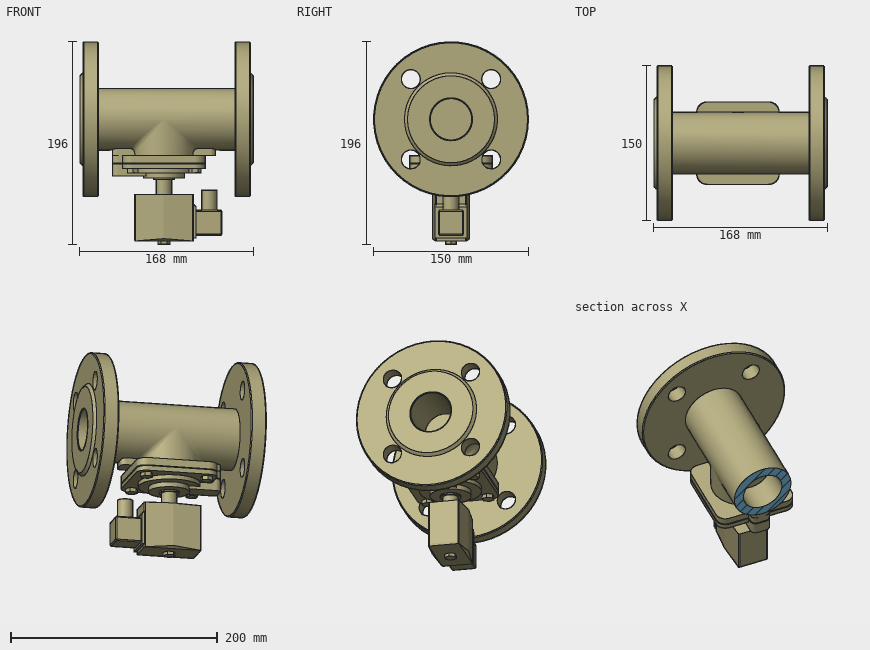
import cadquery as cq
import math

overall_length = 168.0
overall_height = 196.0
pipe_diameter = 60.0
pipe_radius = pipe_diameter / 2
bore_diameter = 40.0
bore_chamfer = 0.8
bore_depth = 58.8
flange_diameter = 150.0
flange_thickness = 15.0
flange_chamfer = 1.0
face_height = 3.0
face_diameter = 90.0
bolt_circle_diameter = 110.0
bolt_hole_diameter = 18.0
bolt_hole_count = 4
first_bolt_angle = 45
bevel_angle = 45

branch_x = -2.5
branch_diameter = pipe_diameter - 0.04
branch_blend_radius = 4.9
plate_side = 80.0
plate_corner_radius = 10.0
plate_top_z = -35.0
plate_joint_z = -42.7
plate_bottom_z = -47.8
joint_gap = 0.5
joint_inset = 0.4
cover_bolt_spacing = 60.0
hex_across_flats = 10.2
cover_bolt_height = 4.0
hex_quarter_turn = 90

bar_length = 100.0
bar_width = 20.0
bar_top_z = -bar_width
bar_corner_radius = 4.9
arm_corner_radius = 5.7
arm_bottom_z = -55.0

bonnet_diameter = 60.0
bonnet_bottom_z = -52.1
collar_diameter = 40.0
collar_bottom_z = -57.0
washer_diameter = 20.0
washer_bottom_z = -58.5
stem_diameter = 15.0

housing_length = 56.8
housing_top_z = -72.7
housing_bottom_z = -117.8
housing_end_width = 30.2
housing_middle_width = 36.0
housing_end_chamfer = 1.0
housing_bottom_bevel = 2.4
housing_foot_height = 2.0
housing_foot_run = 0.4
housing_nut_height = overall_height - flange_diameter / 2 + housing_bottom_z

pad_thickness = 2.7
pad_bevel = 2.5
pad_top_z = -82.1
pad_bottom_z = -114.9
pad_width = 31.4
connector_length = 25.0
connector_width = 24.3
connector_top_z = -87.8
connector_bottom_z = -112.3
connector_chamfer = 1.2
cable_entry_diameter = 15.0
cable_entry_height = 19.2
cable_entry_offset = 12.7


def z_cylinder(diameter, top_z, bottom_z, x):
    return cq.Workplane("XY", origin=(x, 0, bottom_z)).circle(diameter / 2).extrude(top_z - bottom_z)


def z_block(min_x, max_x, width, top_z, bottom_z):
    return (
        cq.Workplane("XY", origin=((min_x + max_x) / 2, 0, bottom_z))
        .rect(max_x - min_x, width)
        .extrude(top_z - bottom_z)
    )


def pipe_with_branch():
    pipe_length = overall_length - 2 * (face_height + flange_thickness)
    pipe = cq.Workplane("YZ").circle(pipe_radius).extrude(pipe_length / 2, both=True)
    branch = z_cylinder(branch_diameter, 0, plate_top_z, branch_x)
    body = pipe.union(branch)
    seam_zone = cq.selectors.BoxSelector(
        (branch_x - pipe_radius, -pipe_radius, -pipe_radius),
        (branch_x + pipe_radius, pipe_radius, 0),
    )
    return body.edges(seam_zone).fillet(branch_blend_radius)


def end_flange():
    """Flange on the -X end, with its raised face."""
    front = cq.Workplane("YZ", origin=(face_height - overall_length / 2, 0, 0))
    disc = front.circle(flange_diameter / 2).extrude(flange_thickness).edges().chamfer(flange_chamfer)
    raised_face = front.circle(face_diameter / 2).extrude(-face_height, taper=bevel_angle)
    bolt_holes = (
        front.polarArray(bolt_circle_diameter / 2, first_bolt_angle, 360, bolt_hole_count)
        .circle(bolt_hole_diameter / 2)
        .extrude(flange_thickness)
    )
    return disc.cut(bolt_holes).union(raised_face)


def end_bore():
    """Blind bore in the -X end, with a chamfered mouth."""
    mouth_plane = cq.Workplane("YZ", origin=(-overall_length / 2, 0, 0))
    bore = mouth_plane.circle(bore_diameter / 2).extrude(bore_depth)
    mouth = mouth_plane.circle(bore_diameter / 2 + bore_chamfer).extrude(bore_chamfer, taper=bevel_angle)
    return bore.union(mouth)


def rounded_block(min_x, max_x, width, top_z, bottom_z, corner_radius, corners="|Z"):
    """Block with its chosen upright edges rounded."""
    return z_block(min_x, max_x, width, top_z, bottom_z).edges(corners).fillet(corner_radius)


def cut_joint(jointed, make_outline):
    """Cut the fine joint groove around a block; make_outline(inset, top, bottom) builds its outline."""
    top_z = plate_joint_z + joint_gap / 2
    bottom_z = plate_joint_z - joint_gap / 2
    ring = make_outline(0, top_z, bottom_z).cut(make_outline(joint_inset, top_z, bottom_z))
    return jointed.cut(ring)


def plate_outline(inset, top_z, bottom_z):
    half_side = plate_side / 2 - inset
    return rounded_block(
        branch_x - half_side, branch_x + half_side, 2 * half_side,
        top_z, bottom_z, plate_corner_radius - inset,
    )


def arm_outline(inset, top_z, bottom_z):
    return rounded_block(
        branch_x - bar_length / 2 + inset, branch_x, bar_width - 2 * inset,
        top_z, bottom_z, arm_corner_radius - inset, "|Z and <X",
    )


def cover_plates():
    return cut_joint(plate_outline(0, plate_top_z, plate_bottom_z), plate_outline)


def hex_head(x, y, top_z, height, turn=0):
    """Hexagonal head hanging from top_z; its corners point along X unless turned."""
    across_corners = hex_across_flats / math.cos(math.radians(30))
    head = cq.Workplane("XY").polygon(6, across_corners).extrude(-height)
    return head.rotate((0, 0, 0), (0, 0, 1), turn).translate((x, y, top_z))


def bar():
    half_length = bar_length / 2
    return rounded_block(
        branch_x - half_length, branch_x + half_length, bar_width,
        bar_top_z, plate_top_z, bar_corner_radius,
    )


def arm():
    return cut_joint(arm_outline(0, plate_top_z, arm_bottom_z), arm_outline)


def bonnet_and_stem():
    bonnet = z_cylinder(bonnet_diameter, plate_bottom_z, bonnet_bottom_z, branch_x)
    collar = z_cylinder(collar_diameter, bonnet_bottom_z, collar_bottom_z, branch_x)
    washer = z_cylinder(washer_diameter, collar_bottom_z, washer_bottom_z, branch_x)
    stem = z_cylinder(stem_diameter, washer_bottom_z, housing_top_z, branch_x)
    return bonnet.union(collar).union(washer).union(stem)


def housing():
    half_length = housing_length / 2
    half_end = housing_end_width / 2
    half_middle = housing_middle_width / 2
    height = housing_top_z - housing_bottom_z
    body = (
        cq.Workplane("XY", origin=(branch_x, 0, housing_bottom_z))
        .polyline([
            (-half_length, -half_end),
            (0, -half_middle),
            (half_length, -half_end),
            (half_length, half_end),
            (0, half_middle),
            (-half_length, half_end),
        ])
        .close()
        .extrude(height)
        .edges("|Z and (<X or >X)")
        .chamfer(housing_end_chamfer)
        .edges("<X and <Z")
        .chamfer(housing_foot_run, housing_foot_height)
    )
    envelope = (
        cq.Workplane("YZ", origin=(branch_x, 0, 0))
        .moveTo(-half_end, housing_bottom_z)
        .lineTo(half_end, housing_bottom_z)
        .lineTo(half_middle, housing_bottom_z + housing_bottom_bevel)
        .lineTo(half_middle, housing_top_z)
        .lineTo(-half_middle, housing_top_z)
        .lineTo(-half_middle, housing_bottom_z + housing_bottom_bevel)
        .close()
        .extrude(half_length, both=True)
    )
    nut = hex_head(branch_x, 0, housing_bottom_z, housing_nut_height)
    return body.intersect(envelope).union(nut)


def connector():
    pad_start = branch_x + housing_length / 2
    pad_end = pad_start + pad_thickness
    connector_end = pad_end + connector_length
    pad = z_block(pad_start, pad_end, pad_width, pad_top_z, pad_bottom_z)
    pad = pad.edges(">X and >Z").chamfer(pad_bevel)
    plug = z_block(pad_end, connector_end, connector_width, connector_top_z, connector_bottom_z)
    plug = plug.edges("|X or >X").chamfer(connector_chamfer)
    entry = z_cylinder(
        cable_entry_diameter, connector_top_z + cable_entry_height, connector_top_z,
        pad_end + cable_entry_offset,
    )
    return pad.union(plug).union(entry)


result = pipe_with_branch()
for part in (bar(), arm(), cover_plates(), bonnet_and_stem(), housing(), connector()):
    result = result.union(part)

for x_side, turn in ((-1, hex_quarter_turn), (1, 0)):
    for y_side in (-1, 1):
        head = hex_head(
            branch_x + x_side * cover_bolt_spacing / 2,
            y_side * cover_bolt_spacing / 2,
            plate_bottom_z,
            cover_bolt_height,
            turn,
        )
        result = result.union(head)

flange = end_flange()
bore = end_bore()
result = result.union(flange).union(flange.mirror("YZ"))
result = result.cut(bore).cut(bore.mirror("YZ"))